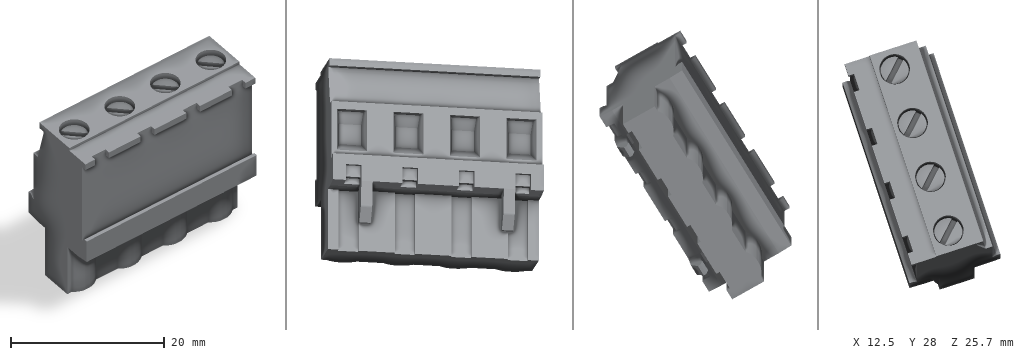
import cadquery as cq
import math


length = 28.0
skirt_width = 12.5
height = 25.7

pole_count = 4
pole_pitch = 7.5
pole_positions = [(i - (pole_count - 1) / 2) * pole_pitch for i in range(pole_count)]

wall_left = 1.05
wall_right = 11.45
ledge_z = 19.5
ledge_inner_x = 2.02
slope_top_x = 3.2
slope_top_z = 24.15
cap_left = 2.35
cap_step_x = 8.8
cap_right = 12.2
cap_thickness = 0.98
cap_step = 0.45
cap_right_z = height - cap_step

skirt_top = 12.05
skirt_lip = 0.5
skirt_groove_z = 11.48
skirt_edge_z = 8.48
skirt_bottom = 8.2
skirt_flat_left = 1.88
skirt_flat_right = skirt_width - skirt_flat_left

plug_left = 3.53
plug_right = 8.35
plug_groove_width = 2.65
plug_groove_depth = 0.5
bulge_radius = 3.0
bulge_flat_width = 0.85
bulge_right = 9.07

entry_width = 4.0
entry_bottom = 12.88
entry_top = 18.45
entry_depth = 1.5
entry_back_width = 2.97
entry_back_bottom = 14.08
entry_back_top = 16.85
entry_roof_depth = 0.98

screw_x = 6.25
screw_hole_diameter = 4.0
screw_diameter = 3.6
screw_recess = 0.8
screw_slot_width = 0.78
screw_slot_depth = 1.0
screw_gap_depth = 2.25
screw_slot_angle = 45.0

cap_notch_width = 2.27
skirt_notch_width = 2.07
skirt_notch_top = 10.65
skirt_notch_depth = 0.5
skirt_notch_step_z = 9.1
skirt_notch_low_depth = 1.2

latch_width = 1.5
latch_y = pole_positions[-1] - (skirt_notch_width + latch_width) / 2
latch_bend_start = (0.35, 5.38)
latch_bend_middle = (0.4, 5.18)
latch_bend_end = (0.45, 5.05)
latch_tip_left = 1.45
latch_tip_right = 1.85
latch_tip_z = 3.25
latch_nose_x = 2.13
latch_nose_z = 4.37
latch_nose_top = 4.93
latch_inner_x = 1.82
latch_root_chamfer = 0.28


def extrude_along_y(points, y_center, y_length):
    """Prism with an X-Z outline, centred on y_center."""
    outline = cq.Workplane("XZ", origin=(0, y_center, 0)).polyline(points).close()
    return outline.extrude(y_length / 2, both=True)


def box_between(x_min, x_max, y_center, y_width, z_min, z_max):
    size = (x_max - x_min, y_width, z_max - z_min)
    return cq.Workplane("XY").box(*size, centered=(False, True, False)).translate((x_min, y_center, z_min))


def housing():
    points = [
        (plug_left, 0),
        (plug_right, 0),
        (plug_right, skirt_bottom),
        (skirt_flat_right, skirt_bottom),
        (skirt_width, skirt_edge_z),
        (skirt_width, skirt_top),
        (skirt_width - skirt_lip, skirt_top),
        (wall_right, skirt_groove_z),
        (wall_right, cap_right_z - cap_thickness),
        (cap_right, cap_right_z - cap_thickness),
        (cap_right, cap_right_z),
        (cap_step_x, cap_right_z),
        (cap_step_x, height),
        (cap_left, height),
        (cap_left, height - cap_thickness),
        (slope_top_x, height - cap_thickness),
        (slope_top_x, slope_top_z),
        (ledge_inner_x, ledge_z),
        (wall_left, ledge_z),
        (wall_left, skirt_groove_z),
        (skirt_lip, skirt_top),
        (0, skirt_top),
        (0, skirt_edge_z),
        (skirt_flat_left, skirt_bottom),
        (plug_left, skirt_bottom),
    ]
    return extrude_along_y(points, 0, length)


def contact_bulge(y):
    """Shallow round rib with a narrow flat crest, standing out of the far face of the plug."""
    center_x = bulge_right - math.sqrt(bulge_radius**2 - (bulge_flat_width / 2) ** 2)
    cylinder = cq.Workplane("XY").center(center_x, y).circle(bulge_radius).extrude(skirt_bottom)
    return cylinder.intersect(box_between(plug_right, bulge_right, y, pole_pitch, 0, skirt_bottom))


def latch(y):
    """Hook hanging below the skirt edge, with its nose facing the plug."""
    outline = (
        cq.Workplane("XZ", origin=(0, y, 0))
        .moveTo(latch_inner_x + latch_root_chamfer, skirt_bottom)
        .lineTo(latch_inner_x + latch_root_chamfer, skirt_edge_z)
        .lineTo(0, skirt_edge_z)
        .lineTo(*latch_bend_start)
        .threePointArc(latch_bend_middle, latch_bend_end)
        .lineTo(latch_tip_left, latch_tip_z)
        .lineTo(latch_tip_right, latch_tip_z)
        .lineTo(latch_nose_x, latch_nose_z)
        .lineTo(latch_inner_x, latch_nose_top)
        .lineTo(latch_inner_x, skirt_bottom - latch_root_chamfer)
        .close()
    )
    return outline.extrude(latch_width / 2, both=True)


def wire_entry(y):
    """Funnel with tapered sides and floor; its roof runs level before it drops to the back face."""
    x_back = wall_left + entry_depth
    side_profile = [
        (wall_left, entry_bottom),
        (wall_left, entry_top),
        (wall_left + entry_roof_depth, entry_top),
        (x_back, entry_back_top),
        (x_back, entry_back_bottom),
    ]
    plan = [
        (wall_left, -entry_width / 2),
        (wall_left, entry_width / 2),
        (x_back, entry_back_width / 2),
        (x_back, -entry_back_width / 2),
    ]
    side_taper = cq.Workplane("XY").polyline(plan).close().extrude(height).translate((0, y, 0))
    return extrude_along_y(side_profile, y, entry_width).intersect(side_taper)


def screw_opening(y):
    """Round hole around a slotted screw head."""
    top = cq.Workplane("XY", origin=(screw_x, y, height))
    depth = screw_recess + screw_gap_depth
    hole = top.circle(screw_hole_diameter / 2).extrude(-depth)
    head_height = screw_gap_depth
    floor = top.workplane(offset=-depth)
    head = floor.circle(screw_diameter / 2).extrude(head_height)
    slot = (
        floor.workplane(offset=head_height - screw_slot_depth)
        .transformed(rotate=(0, 0, screw_slot_angle))
        .rect(screw_hole_diameter, screw_slot_width)
        .extrude(screw_slot_depth)
    )
    return hole.cut(head.cut(slot))


def cap_notch(y):
    return box_between(wall_right, cap_right, y, cap_notch_width, cap_right_z - cap_thickness, height)


def skirt_notch(y):
    upper = box_between(0, skirt_notch_depth, y, skirt_notch_width, skirt_bottom, skirt_notch_top)
    lower = box_between(0, skirt_notch_low_depth, y, skirt_notch_width, skirt_bottom, skirt_notch_step_z)
    return upper.union(lower)


def plug_groove(y):
    return box_between(plug_left, plug_left + plug_groove_depth, y, plug_groove_width, 0, skirt_bottom)


result = housing()
for pole_y in pole_positions:
    result = result.union(contact_bulge(pole_y))
    for cut_shape in (wire_entry, screw_opening, cap_notch, skirt_notch, plug_groove):
        result = result.cut(cut_shape(pole_y))
for side in (-1, 1):
    result = result.union(latch(side * latch_y))